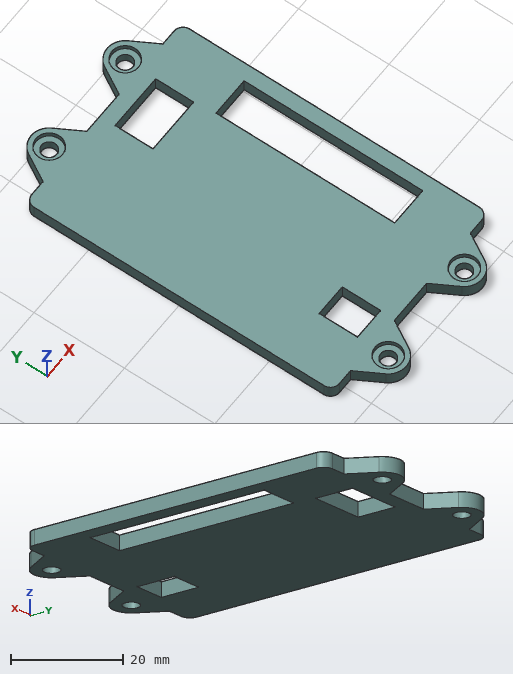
import cadquery as cq
import math

plate_width = 47.0
plate_length = 68.1
thickness = 3.0
corner_radius = 2.0

overall_length = 83.0
ear_spacing = 23.0
ear_radius = 4.0
flank_angle = math.radians(60)
hole_diameter = 3.3
counterbore_diameter = 5.8
counterbore_depth = 1.0

windows = [
    (5.2, 26.5, 12.3, 8.4),
    (16.1, -2.1, 8.5, 39.5),
    (-8.1, -26.6, 7.0, 8.5),
]

plate_edge = plate_length / 2
hole_y = overall_length / 2 - ear_radius
hole_centers = [(x * ear_spacing / 2, y * hole_y) for x in (-1, 1) for y in (-1, 1)]


def ear(x, y):
    """Return an ear pointing away from the plate, centred on its hole."""
    side = math.copysign(1, y)
    tangent_x = ear_radius * math.sin(flank_angle)
    tangent_y = hole_y + ear_radius * math.cos(flank_angle)
    root_x = tangent_x + (tangent_y - plate_edge) / math.tan(flank_angle)
    inner_y = plate_edge - corner_radius
    return (
        cq.Workplane("XY")
        .moveTo(x - root_x, side * inner_y)
        .lineTo(x - root_x, side * plate_edge)
        .lineTo(x - tangent_x, side * tangent_y)
        .threePointArc((x, side * overall_length / 2), (x + tangent_x, side * tangent_y))
        .lineTo(x + root_x, side * plate_edge)
        .lineTo(x + root_x, side * inner_y)
        .close()
        .extrude(thickness)
    )


result = (
    cq.Workplane("XY")
    .rect(plate_width, plate_length)
    .extrude(thickness)
    .edges("|Z")
    .fillet(corner_radius)
)
for x, y in hole_centers:
    result = result.union(ear(x, y))

result = (
    result.faces(">Z")
    .workplane(origin=(0, 0, thickness))
    .pushPoints(hole_centers)
    .cboreHole(hole_diameter, counterbore_diameter, counterbore_depth)
)

for x, y, width, length in windows:
    cutter = cq.Workplane("XY").center(x, y).rect(width, length).extrude(thickness)
    result = result.cut(cutter)